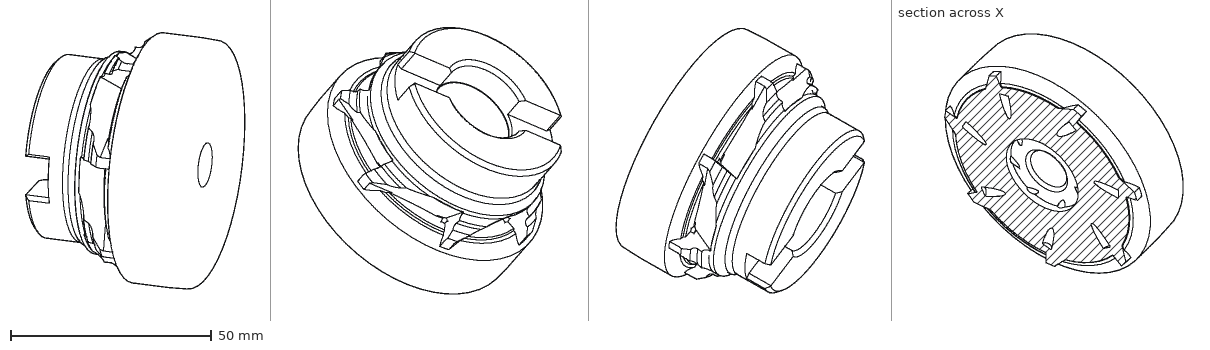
import cadquery as cq
import math

LENGTH = 40.0
RIM_RADIUS = 31.5

HUB_RADIUS = 23.1
HUB_CHAMFER = 1.15
HUB_END = 10.3
COLLAR_RADIUS = 23.8
COLLAR_START = 12.0
COLLAR_END = 12.9
SHOULDER_RADIUS = 25.5
SHOULDER_START = 14.35
SHOULDER_END = 15.75

STEP_RADIUS = 27.2
STEP_START = 16.9
STEP_END = 18.15
UPPER_STEP_RADIUS = 28.7
UPPER_STEP_START = 19.3
TIP_RADIUS = 30.2
TIP_START = 21.15
SAG = 0.4

RIM_FACE = 22.35
RIM_FACE_RADIUS = 26.4
RIM_LIP_X = 22.85
RIM_LIP_RADIUS = 26.8
RIM_DISH_X = 23.0
RIM_DISH_RADIUS = 27.7
RIM_DISH_MIDDLE = (24.3, 29.35)
RIM_START = 25.1
RIM_TAPER_START = 34.65
RIM_END_RADIUS = 31.25
RIM_FILLET = 0.75

SLOT_WIDTH = 10.3
SLOT_DEPTH = 6.55
SLOT_FLARE = 1.0
SLOT_FLARE_Y = 22.25

BORE_RADIUS = 10.95
BORE_STEP = 0.2
BORE_STEP_X = 7.9
BORE_CHAMFER = 1.15
BORE_DEPTH = 24.55
HOLE_RADIUS = 5.55
HOLE_CHAMFER = 0.9

TOOTH_COUNT = 7
TOOTH_PITCH = 360 / TOOTH_COUNT
GULLET_START = 15.45
GULLET_TOP = 34.65
FACET_X = 22.05
FLOOR_END_HEIGHT = 24.8
FLOOR_END_Z = 5.7
FLOOR_SLOPE = 0.18
ROOT_HEIGHT = 24.0
ROOT_Z = 8.0
TRAILING_Z = -16.4
FACE_SLOPE = 0.22
FLOOR_SAG = 0.6
FLOOR_AXIAL_SLOPE = 0.35
FACE_AXIAL_SLOPE = 0.28

COOLANT_RADIUS = 1.3
COOLANT_OFFSET = 6.75
COOLANT_INNER_HEIGHT = 3.8
COOLANT_INNER_X = 26.3
COOLANT_OUTER_HEIGHT = 23.3
COOLANT_OUTER_X = 22.7


def concave_step(profile, start, end):
    """Continue the profile from start to end along an arc bowed towards the axis."""
    run = end[0] - start[0]
    rise = end[1] - start[1]
    size = math.hypot(run, rise)
    middle_x = (start[0] + end[0]) / 2 + SAG * rise / size
    middle_r = (start[1] + end[1]) / 2 - SAG * run / size
    return profile.lineTo(*start).threePointArc((middle_x, middle_r), end)


def around_axis(shape):
    """Copies of a shape, one per tooth, about X."""
    return [shape.rotate((0, 0, 0), (1, 0, 0), i * TOOTH_PITCH) for i in range(TOOTH_COUNT)]


def revolved(profile):
    """Close a profile of (x, radius) points and turn it about X."""
    return profile.close().revolve(360, (0, 0, 0), (1, 0, 0))


def tooth_blank():
    profile = cq.Workplane("XY").lineTo(0, HUB_RADIUS - HUB_CHAMFER).lineTo(HUB_CHAMFER, HUB_RADIUS)
    profile = concave_step(profile, (HUB_END, HUB_RADIUS), (COLLAR_START, COLLAR_RADIUS))
    profile = concave_step(profile, (COLLAR_END, COLLAR_RADIUS), (SHOULDER_START, SHOULDER_RADIUS))
    profile = concave_step(profile, (SHOULDER_END, SHOULDER_RADIUS), (STEP_START, STEP_RADIUS))
    profile = concave_step(profile, (STEP_END, STEP_RADIUS), (UPPER_STEP_START, UPPER_STEP_RADIUS))
    return revolved(profile.lineTo(TIP_START, TIP_RADIUS).lineTo(RIM_START, TIP_RADIUS).lineTo(RIM_START, 0))


def rim():
    profile = (
        cq.Workplane("XY")
        .moveTo(RIM_FACE, 0)
        .lineTo(RIM_FACE, RIM_FACE_RADIUS)
        .lineTo(RIM_LIP_X, RIM_LIP_RADIUS)
        .lineTo(RIM_DISH_X, RIM_DISH_RADIUS)
        .threePointArc(RIM_DISH_MIDDLE, (RIM_START, RIM_RADIUS))
        .lineTo(RIM_TAPER_START, RIM_RADIUS)
        .lineTo(LENGTH, RIM_END_RADIUS)
        .lineTo(LENGTH, 0)
    )
    return revolved(profile).faces(">X").edges().fillet(RIM_FILLET)


def gullet_prism(start, run):
    """Gullet section with its floor towards -Y, starting at a point and swept along run."""
    floor_span = FLOOR_END_Z - TRAILING_Z
    floor_rise = FLOOR_SLOPE * floor_span
    face_span = GULLET_TOP - ROOT_HEIGHT
    section = (
        cq.Workplane("YZ", origin=start)
        .moveTo(-FLOOR_END_HEIGHT - floor_rise, TRAILING_Z)
        .threePointArc(
            (-FLOOR_END_HEIGHT - floor_rise / 2 + FLOOR_SAG, FLOOR_END_Z - floor_span / 2),
            (-FLOOR_END_HEIGHT, FLOOR_END_Z),
        )
        .lineTo(-ROOT_HEIGHT, ROOT_Z)
        .lineTo(-GULLET_TOP, ROOT_Z + FACE_SLOPE * face_span)
        .lineTo(-GULLET_TOP, TRAILING_Z)
        .close()
    )
    return cq.Workplane(cq.Solid.extrudeLinear(section.val(), [], run))


def gullet_cutter():
    """Slanted gullet beside the tooth, running on straight along X beside the tooth tip."""
    length = FACET_X - GULLET_START
    slant = cq.Vector(length, FLOOR_AXIAL_SLOPE * length, -FACE_AXIAL_SLOPE * length)
    start = cq.Vector(GULLET_START, 0, 0)
    slanted = gullet_prism(start, slant)
    straight = gullet_prism(start + slant, cq.Vector(RIM_START - FACET_X, 0, 0))
    return slanted.union(straight)


def drive_slot():
    """Slot along Y, flared at 45 degrees where it meets the hub surface."""
    half = SLOT_WIDTH / 2
    flare_start = SLOT_FLARE_Y - SLOT_FLARE
    flare_half = half + RIM_RADIUS - flare_start
    return (
        cq.Workplane("YZ")
        .polyline([
            (-RIM_RADIUS, -flare_half),
            (-flare_start, -half),
            (flare_start, -half),
            (RIM_RADIUS, -flare_half),
            (RIM_RADIUS, flare_half),
            (flare_start, half),
            (-flare_start, half),
            (-RIM_RADIUS, flare_half),
        ])
        .close()
        .extrude(SLOT_DEPTH)
    )


def bore():
    mouth_radius = BORE_RADIUS + BORE_STEP
    profile = (
        cq.Workplane("XY")
        .lineTo(0, mouth_radius + BORE_CHAMFER)
        .lineTo(BORE_CHAMFER, mouth_radius)
        .lineTo(BORE_STEP_X, mouth_radius)
        .lineTo(BORE_STEP_X, BORE_RADIUS)
        .lineTo(BORE_DEPTH, BORE_RADIUS)
        .lineTo(BORE_DEPTH, HOLE_RADIUS + HOLE_CHAMFER)
        .lineTo(BORE_DEPTH + HOLE_CHAMFER, HOLE_RADIUS)
        .lineTo(LENGTH, HOLE_RADIUS)
        .lineTo(LENGTH, 0)
    )
    return revolved(profile)


def coolant_hole():
    """Slanted hole from the bore floor to the foot of the tooth face."""
    inner = cq.Vector(COOLANT_INNER_X, -COOLANT_INNER_HEIGHT, COOLANT_OFFSET)
    outer = cq.Vector(COOLANT_OUTER_X, -COOLANT_OUTER_HEIGHT, COOLANT_OFFSET)
    path = outer - inner
    return cq.Workplane(cq.Solid.makeCylinder(COOLANT_RADIUS, path.Length, inner, path))


result = tooth_blank()
for cutter in around_axis(gullet_cutter()):
    result = result.cut(cutter)
result = result.union(rim()).cut(drive_slot()).cut(bore())
for hole in around_axis(coolant_hole()):
    result = result.cut(hole)